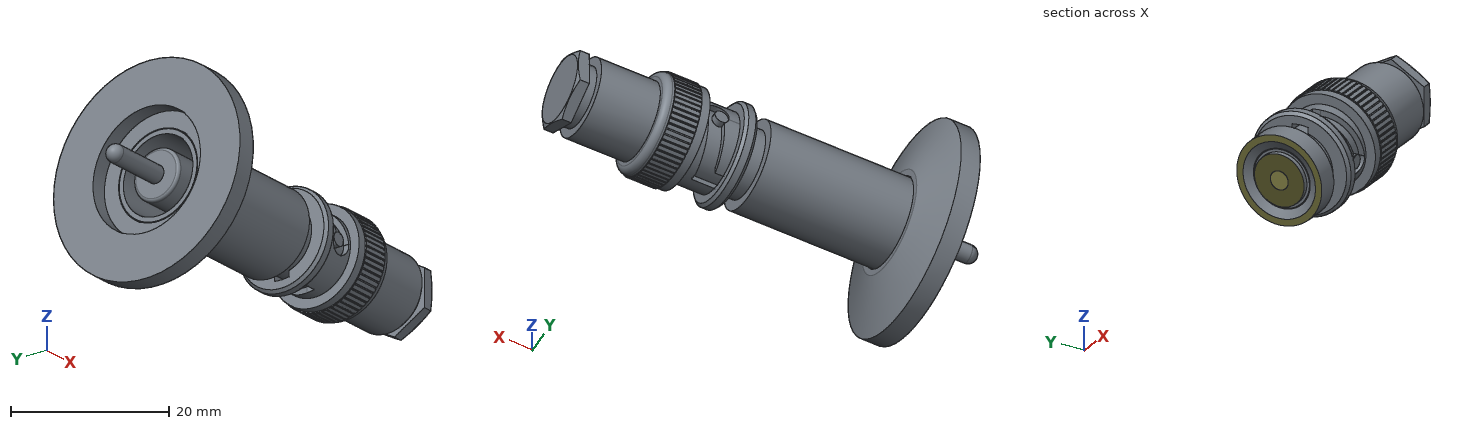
import cadquery as cq
import math


flange_r = 15.0
rim_thickness = 2.75
flange_length = 4.9
hub_r = 7.2
recess_r = 8.6
recess_depth = 2.35
flange_bore_r = 6.35

tube_r = 6.2
tube_bore_r = 5.55
tube_end_x = 25.35
funnel_start_x = 22.15
funnel_angle = 60.0
funnel_end_r = 4.15
funnel_length = (tube_bore_r - funnel_end_r) / math.tan(math.radians(funnel_angle))
funnel_end_x = funnel_start_x + funnel_length
neck_r = 4.8
neck_bore_r = 4.0
lug_x = 32.1
lug_r = 0.95
lug_tip_r = 5.6
lug_angles = (0, 180)

insulator_face_x = 1.9
insulator_r = 3.65
insulator_fillet = 0.4
pin_tip_x = -7.6
pin_r = 1.25

coupling_x = 27.6
collar_width = 1.85
collar_r = 7.2
collar_chamfer = 0.4
sleeve_r = 5.6
grip_x = 34.5
grip_r = 7.0
knurl_x = 35.75
knurl_length = 3.85
knurl_r = 7.2
knurl_count = 60
groove_width = 0.2
coupling_end_x = 40.85
grip_fillet = 0.95

slot_width = 2.35
ramp_x = 32.75
ramp_rise = 1.4
ramp_turn = 90.0
seat_x = 32.6
seat_z = -0.35
seat_r = 1.55
cut_margin = 0.3
ramp_plane = cq.Plane(origin=(ramp_x, 0, 0), xDir=(0, 0, 1), normal=(1, 0, 0))

barrel_r = 5.5
barrel_end_x = 49.3
nut_neck_r = 4.25
hex_x = 50.65
nut_end_x = 52.3
hex_sides = 6
hex_flats = 9.6
nut_face_r = 4.7
nut_chamfer_angle = 20.0


def revolve_about_x(points):
    """Turn a closed (x, radius) outline around the X axis."""
    return cq.Workplane("XY").polyline(points).close().revolve(360, (0, 0, 0), (1, 0, 0))


def cylinder(start_x, end_x, radius):
    return cq.Workplane("YZ", origin=(start_x, 0, 0)).circle(radius).extrude(end_x - start_x)


def front_cylinder(x, z, radius, start_r, end_r):
    """Radial cylinder on the -Y side, between two distances from the axis."""
    plane = cq.Workplane("XZ", origin=(x, -start_r, z))
    return plane.circle(radius).extrude(end_r - start_r)


def turned_about_x(shape, angle):
    return shape.rotate((0, 0, 0), (1, 0, 0), angle)


def make_flange():
    return revolve_about_x([
        (0, recess_r),
        (0, flange_r),
        (rim_thickness, flange_r),
        (flange_length, hub_r),
        (flange_length, flange_bore_r),
        (recess_depth, flange_bore_r),
        (recess_depth, recess_r),
    ])


def make_shell():
    shell = revolve_about_x([
        (recess_depth, tube_bore_r),
        (recess_depth, tube_r),
        (tube_end_x, tube_r),
        (tube_end_x, neck_r),
        (coupling_end_x, neck_r),
        (coupling_end_x, neck_bore_r),
        (funnel_end_x, neck_bore_r),
        (funnel_end_x, funnel_end_r),
        (funnel_start_x, tube_bore_r),
    ])
    lug_root_r = (neck_r + neck_bore_r) / 2
    lug = front_cylinder(lug_x, 0, lug_r, lug_root_r, lug_tip_r)
    for angle in lug_angles:
        shell = shell.union(turned_about_x(lug, angle))
    return shell


def make_insulator():
    body = cylinder(insulator_face_x, coupling_end_x, insulator_r)
    body = body.faces("<X").edges().fillet(insulator_fillet)
    body = body.union(cylinder(funnel_end_x, coupling_end_x, neck_bore_r))
    return body.cut(cylinder(insulator_face_x, coupling_end_x, pin_r))


def make_pin():
    shaft = cylinder(pin_tip_x + pin_r, coupling_end_x, pin_r)
    tip = cq.Workplane("XY").sphere(pin_r).translate((pin_tip_x + pin_r, 0, 0))
    return shaft.union(tip)


def make_slot_entry():
    """Straight channel along the top of the neck, up to the start of the ramp."""
    entry_length = ramp_x - coupling_x
    channel = cq.Workplane("YZ", origin=(coupling_x, 0, 0)).center(0, sleeve_r / 2)
    channel = channel.rect(slot_width, sleeve_r).extrude(entry_length)
    return channel.intersect(cylinder(coupling_x, ramp_x, sleeve_r))


def make_slot_ramp():
    """Helical channel from +Z round to -Y, swept about Z and then laid along X."""
    pitch = ramp_rise * 360 / ramp_turn
    path = cq.Wire.makeHelix(pitch, ramp_rise, sleeve_r)
    profile = (
        cq.Workplane("XZ")
        .center((neck_r + sleeve_r) / 2, -slot_width / 2)
        .rect(sleeve_r - neck_r + 2 * cut_margin, slot_width)
    )
    ramp = profile.sweep(cq.Workplane(obj=path), isFrenet=True).val()
    return cq.Workplane(obj=ramp.moved(ramp_plane.location))


def make_slot_seat():
    """Round pocket at -Y where the lug rests."""
    return front_cylinder(seat_x, seat_z, seat_r, sleeve_r / 2, sleeve_r + cut_margin)


def make_knurl():
    knurl = cylinder(knurl_x, knurl_x + knurl_length, knurl_r)
    groove_depth = knurl_r - grip_r
    grooves = (
        cq.Workplane("YZ", origin=(knurl_x, 0, 0))
        .polarArray(knurl_r, 0, 360, knurl_count)
        .rect(2 * groove_depth, groove_width)
        .extrude(knurl_length)
    )
    return knurl.cut(grooves)


def make_coupling():
    collar_end_x = coupling_x + collar_width
    sleeve = cylinder(coupling_x, grip_x, sleeve_r)
    for cutter in (make_slot_entry(), make_slot_ramp(), make_slot_seat()):
        for angle in lug_angles:
            sleeve = sleeve.cut(turned_about_x(cutter, angle))
    sleeve = sleeve.cut(cylinder(coupling_x, grip_x, neck_r))
    collar = cylinder(coupling_x, collar_end_x, collar_r).edges().chamfer(collar_chamfer)
    collar = collar.cut(cylinder(coupling_x, collar_end_x, sleeve_r))

    grip = cylinder(grip_x, coupling_end_x, grip_r).faces(">X").edges().fillet(grip_fillet)
    grip = grip.union(make_knurl()).cut(cylinder(grip_x, coupling_end_x, neck_r))
    return sleeve.union(collar).union(grip)


def make_barrel():
    return cylinder(coupling_end_x, barrel_end_x, barrel_r)


def make_nut():
    corner_r = hex_flats / 2 / math.cos(math.pi / hex_sides)
    chamfer_length = (corner_r - nut_face_r) * math.tan(math.radians(nut_chamfer_angle))
    hexagon = cq.Workplane("YZ", origin=(hex_x, 0, 0)).polygon(hex_sides, 2 * corner_r)
    hexagon = turned_about_x(hexagon.extrude(nut_end_x - hex_x), 90)
    envelope = revolve_about_x([
        (hex_x, 0),
        (hex_x, corner_r),
        (nut_end_x - chamfer_length, corner_r),
        (nut_end_x, nut_face_r),
        (nut_end_x, 0),
    ])
    return hexagon.intersect(envelope).union(cylinder(barrel_end_x, hex_x, nut_neck_r))


flange = make_flange()
shell = make_shell()
insulator = make_insulator()
pin = make_pin()
coupling = make_coupling()
barrel = make_barrel()
nut = make_nut()

bodies = [flange, shell, insulator, pin, coupling, barrel, nut]
result = cq.Compound.makeCompound([body.solids().val() for body in bodies])